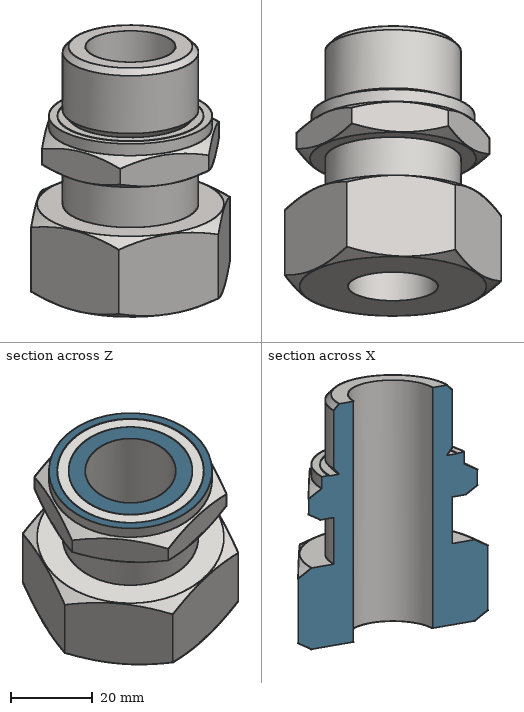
import cadquery as cq
import math

total_length = 62.0
bore_diameter = 22.0

nut_width = 46.0
nut_height = 21.0
body_hex_width = 41.0
body_hex_bottom = 32.85
body_hex_top = 41.0
corner_chamfer_angle = 30.0
nut_face_diameter = 45.65
body_hex_lower_face_diameter = 40.6
collar_diameter = 39.9

collar_top = 44.0
recess_diameter = 35.7
recess_depth = 0.1

shank_diameter = 33.25
thread_end_diameter = 30.25
tip_chamfer_height = 1.5
runout_top = 45.5


def cylinder(diameter, bottom, top):
    return cq.Workplane("XY").workplane(offset=bottom).circle(diameter / 2).extrude(top - bottom)


def chamfered_hexagon(width, bottom, top, lower_face_diameter, upper_face_diameter):
    """Hexagon with corners on the Y axis, trimmed by a cone at each end."""
    corner_diameter = width / math.cos(math.pi / 6)
    corner_radius = corner_diameter / 2
    slope = math.tan(math.radians(corner_chamfer_angle))
    lower_radius = lower_face_diameter / 2
    upper_radius = upper_face_diameter / 2
    prism = (
        cq.Workplane("XY")
        .workplane(offset=bottom)
        .transformed(rotate=(0, 0, 90))
        .polygon(6, corner_diameter)
        .extrude(top - bottom)
    )
    envelope = (
        cq.Workplane("XZ")
        .moveTo(0, bottom)
        .lineTo(lower_radius, bottom)
        .lineTo(corner_radius, bottom + (corner_radius - lower_radius) * slope)
        .lineTo(corner_radius, top - (corner_radius - upper_radius) * slope)
        .lineTo(upper_radius, top)
        .lineTo(0, top)
        .close()
        .revolve(360, (0, 0), (0, 1))
    )
    return prism.intersect(envelope)


def threaded_end():
    """Turned stud with a chamfered tip and a tapered run-out at its foot."""
    floor = collar_top - recess_depth
    end_radius = thread_end_diameter / 2
    shank_radius = shank_diameter / 2
    return (
        cq.Workplane("XZ")
        .moveTo(0, floor)
        .lineTo(end_radius, floor)
        .lineTo(shank_radius, runout_top)
        .lineTo(shank_radius, total_length - tip_chamfer_height)
        .lineTo(end_radius, total_length)
        .lineTo(0, total_length)
        .close()
        .revolve(360, (0, 0), (0, 1))
    )


nut = chamfered_hexagon(nut_width, 0, nut_height, nut_face_diameter, nut_face_diameter)
shank = cylinder(shank_diameter, nut_height, body_hex_bottom)
body_hex = chamfered_hexagon(
    body_hex_width, body_hex_bottom, body_hex_top, body_hex_lower_face_diameter, collar_diameter
)
collar = cylinder(collar_diameter, body_hex_top, collar_top)
recess = cylinder(recess_diameter, collar_top - recess_depth, collar_top)

outside = nut.union(shank).union(body_hex).union(collar).cut(recess).union(threaded_end())
result = outside.cut(cylinder(bore_diameter, 0, total_length))